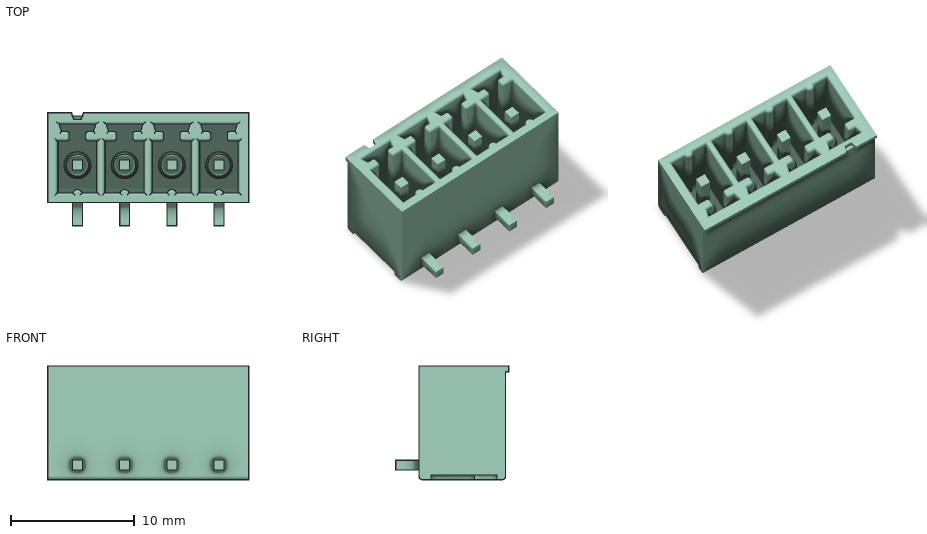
import cadquery as cq

length = 16.24
height = 9.2
front_y = -3.02
back_y = 3.98
base_fillet = 0.3

lip_overhang = 0.26
lip_thickness = 0.49
lip_y = back_y + lip_overhang

notch_mouth_half = 0.47
notch_root_half = 0.32
notch_root_y = 3.7
notch_root_fillet = 0.1

contact_count = 4
pitch = 3.81
contact_x = [(i - (contact_count - 1) / 2) * pitch for i in range(contact_count)]
pin_width = 0.81
pin_top_depth = 1.05
leg_z = 1.19
leg_length = 1.88

cavity_floor_z = 2.0
cavity_depth = height - cavity_floor_z
rim_fillet = 0.2
chamber_top_half = 1.64
chamber_floor_half = 1.55
chamber_front_y = -2.25
chamber_back_y = 1.97
neck_half = 0.67
neck_back_y = 2.71
dovetail_back_y = 3.31
dovetail_neck_half = 1.3
dovetail_back_half = 1.48
tab_corner_fillet = 0.2
front_floor_fillet = 0.4
rib_radius = 0.37
rib_setback = 0.08

collar_radius = 1.09
collar_height = 0.9
collar_top_radius = 0.9

recess_height = 0.4
recess_front_y = -2.03
recess_step_y = 1.48
recess_back_y = 3.28
recess_front_depth = 1.0
recess_back_depth = 0.5

tolerance = 0.02


def box_between(x0, x1, y0, y1, z0, z1):
    """Box given by its limits along each axis."""
    return cq.Workplane("XY").box(x1 - x0, y1 - y0, z1 - z0, centered=False).translate((x0, y0, z0))


def housing():
    """Solid block with rounded bottom edges and the locating lip."""
    body = box_between(-length / 2, length / 2, front_y, back_y, 0, height)
    body = body.edges("|X and <Z").fillet(base_fillet)
    lip = box_between(-length / 2, length / 2, front_y, lip_y, height - lip_thickness, height)
    return body.union(lip)


def coding_notch():
    """Tapered notch through the lip, running on into the back wall."""
    return (
        cq.Workplane("XY", origin=(contact_x[0], 0, height))
        .polyline(
            [
                (-notch_mouth_half, lip_y),
                (-notch_root_half, notch_root_y),
                (notch_root_half, notch_root_y),
                (notch_mouth_half, lip_y),
            ]
        )
        .close()
        .extrude(-lip_thickness)
        .edges("|Z and <Y")
        .fillet(notch_root_fillet)
    )


def chamber():
    """Drafted square chamber with a rounded front edge on its floor and a rib up its front wall."""
    void = (
        cq.Workplane("XZ", origin=(0, chamber_back_y, 0))
        .polyline(
            [
                (-chamber_floor_half, cavity_floor_z),
                (chamber_floor_half, cavity_floor_z),
                (chamber_top_half, height),
                (-chamber_top_half, height),
            ]
        )
        .close()
        .extrude(chamber_back_y - chamber_front_y)
    )
    void = void.faces("<Z").edges("<Y").fillet(front_floor_fillet)
    rib = (
        cq.Workplane("XY", origin=(0, chamber_front_y - rib_setback, cavity_floor_z))
        .circle(rib_radius)
        .extrude(cavity_depth)
    )
    return void.cut(rib)


def keyway():
    """Neck between the two tabs, opening into the dovetail behind them."""
    right_side = [
        (neck_half, chamber_back_y),
        (neck_half, neck_back_y),
        (dovetail_neck_half, neck_back_y),
        (dovetail_back_half, dovetail_back_y),
    ]
    left_side = [(-x, y) for x, y in reversed(right_side)]
    return (
        cq.Workplane("XY", origin=(0, 0, cavity_floor_z))
        .polyline(right_side + left_side)
        .close()
        .extrude(cavity_depth)
    )


def cavity():
    """Void of one plug cavity, with the corners of its two tabs rounded."""
    void = chamber().union(keyway())
    tab_zone = cq.selectors.BoxSelector(
        (-neck_half - tolerance, chamber_back_y - tolerance, 0),
        (neck_half + tolerance, neck_back_y + tolerance, height),
    )
    return void.edges("|Z").edges(tab_zone).fillet(tab_corner_fillet)


def collar():
    """Conical collar standing on the cavity floor."""
    return (
        cq.Workplane("XY", origin=(0, 0, cavity_floor_z))
        .circle(collar_radius)
        .workplane(offset=collar_height)
        .circle(collar_top_radius)
        .loft()
    )


def contact():
    """Square contact: a post up into the cavity and a leg out through the front."""
    half = pin_width / 2
    post = box_between(-half, half, -half, half, leg_z - half, height - pin_top_depth)
    leg = box_between(-half, half, front_y - leg_length, half, leg_z - half, leg_z + half)
    return post.union(leg)


def left_end_recess():
    """Recess in the base at the -X end, deeper towards the front."""
    end_x = -length / 2
    front_part = box_between(
        end_x, end_x + recess_front_depth, recess_front_y, recess_step_y, 0, recess_height
    )
    back_part = box_between(
        end_x, end_x + recess_back_depth, recess_step_y, recess_back_y, 0, recess_height
    )
    return front_part.union(back_part)


result = housing().cut(coding_notch())
for x in contact_x:
    result = result.cut(cavity().translate((x, 0, 0)))

rim_zone = cq.selectors.BoxSelector(
    (-length / 2 + tolerance, front_y + tolerance, height - tolerance),
    (length / 2 - tolerance, dovetail_back_y + tolerance, height + tolerance),
)
result = result.edges(rim_zone).fillet(rim_fillet)

for x in contact_x:
    result = result.union(collar().translate((x, 0, 0)))
    result = result.union(contact().translate((x, 0, 0)))

result = result.cut(left_end_recess()).cut(left_end_recess().mirror("YZ"))